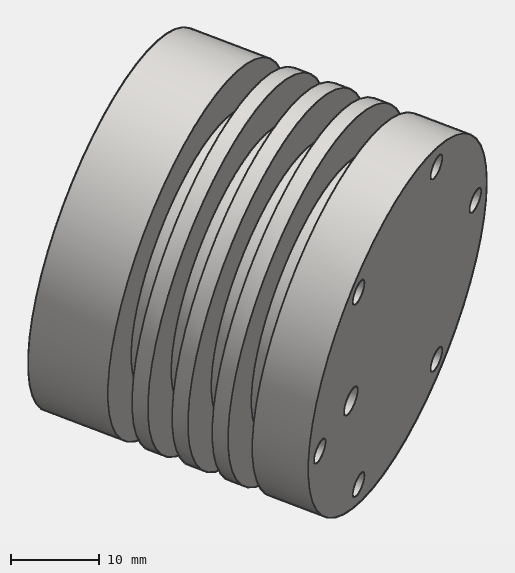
import cadquery as cq

outer_diameter = 46.0
core_diameter = 34.0
length = 35.0
front_flange_width = 10.0
rear_flange_width = 7.0
rib_width = 2.0
rib_count = 3
groove_count = rib_count + 1

axial_hole_diameter = 3.5
axial_hole_offset = 12.0

flange_hole_diameter = 3.0
flange_hole_circle_radius = 20.0
flange_hole_count = 6

front_face_x = -length / 2
rear_face_x = length / 2
groove_width = (length - front_flange_width - rear_flange_width - rib_count * rib_width) / groove_count


def cylinder_along_x(diameter, start_x, width):
    return cq.Workplane("YZ", origin=(start_x, 0, 0)).circle(diameter / 2).extrude(width)


body = cylinder_along_x(core_diameter, front_face_x, length)
body = body.union(cylinder_along_x(outer_diameter, front_face_x, front_flange_width))
body = body.union(cylinder_along_x(outer_diameter, rear_face_x - rear_flange_width, rear_flange_width))

for index in range(rib_count):
    rib_x = front_face_x + front_flange_width + groove_width + index * (groove_width + rib_width)
    body = body.union(cylinder_along_x(outer_diameter, rib_x, rib_width))

axial_hole = (
    cq.Workplane("YZ", origin=(front_face_x, 0, 0))
    .center(-axial_hole_offset, 0)
    .circle(axial_hole_diameter / 2)
    .extrude(length)
)

flange_holes = (
    cq.Workplane("YZ", origin=(rear_face_x - rear_flange_width, 0, 0))
    .polarArray(flange_hole_circle_radius, 0, 360, flange_hole_count)
    .circle(flange_hole_diameter / 2)
    .extrude(rear_flange_width)
)

result = body.cut(axial_hole).cut(flange_holes)